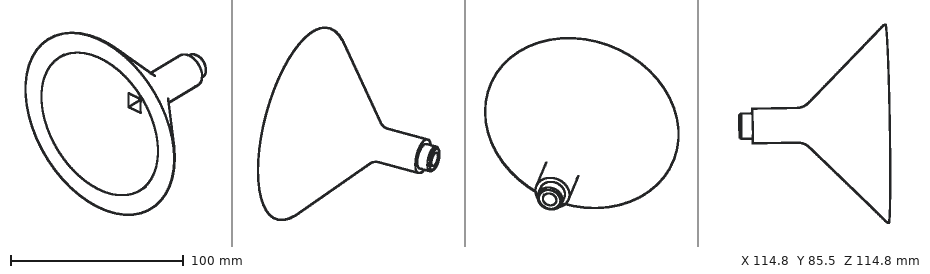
import cadquery as cq
import math

total_length = 85.5
rim_radius = 57.4
rim_round = 2.0

stem_radius = 20.2 / 2
peg_radius = 14.8 / 2
peg_length = 7.5
peg_chamfer = 1.0
shoulder_y = total_length - peg_length

cone_angle = math.radians(45)
blend_radius = 10.0
blend_tangent = blend_radius * math.tan(cone_angle / 2)

mouth_radius = 90.0 / 2
mouth_depth = 6.0
mouth_round = 1.0
cavity_depth = 30.4

bolt_diameter = 8.0
square_side = 9.4
square_depth = square_side


def round_point(start_radius, start_y, round_radius, angle):
    """Point on an inward-curving arc that starts parallel to the Y axis."""
    return (
        start_radius - round_radius * (1 - math.cos(angle)),
        start_y + round_radius * math.sin(angle),
    )


def outer_body():
    """Revolve the flared cone, its concave neck blend, the stem and the peg."""
    rim_middle = round_point(rim_radius, 0, rim_round, cone_angle / 2)
    rim_end = round_point(rim_radius, 0, rim_round, cone_angle)
    rim_end_radius, rim_end_y = rim_end
    neck_y = rim_end_y + (rim_end_radius - stem_radius) / math.tan(cone_angle)
    blend_top_y = neck_y + blend_tangent
    center_r = stem_radius + blend_radius
    half_angle = cone_angle / 2
    blend_middle = (
        center_r - blend_radius * math.cos(half_angle),
        blend_top_y - blend_radius * math.sin(half_angle),
    )
    blend_bottom = (
        center_r - blend_radius * math.cos(cone_angle),
        blend_top_y - blend_radius * math.sin(cone_angle),
    )
    return (
        cq.Workplane("XY")
        .moveTo(0, 0)
        .lineTo(rim_radius, 0)
        .threePointArc(rim_middle, rim_end)
        .lineTo(*blend_bottom)
        .threePointArc(blend_middle, (stem_radius, blend_top_y))
        .lineTo(stem_radius, shoulder_y)
        .lineTo(peg_radius, shoulder_y)
        .lineTo(peg_radius, total_length - peg_chamfer)
        .lineTo(peg_radius - peg_chamfer, total_length)
        .lineTo(0, total_length)
        .close()
        .revolve(360, (0, 0), (0, 1))
    )


def cavity():
    """Revolve the mouth bore, the inner cone and its blend into the flat floor."""
    mouth_middle = round_point(mouth_radius, mouth_depth, mouth_round, cone_angle / 2)
    mouth_end = round_point(mouth_radius, mouth_depth, mouth_round, cone_angle)
    mouth_end_radius, mouth_end_y = mouth_end
    corner_r = mouth_end_radius - (cavity_depth - mouth_end_y) * math.tan(cone_angle)
    floor_radius = corner_r - blend_tangent
    center_y = cavity_depth - blend_radius
    half_angle = cone_angle / 2
    blend_middle = (
        floor_radius + blend_radius * math.sin(half_angle),
        center_y + blend_radius * math.cos(half_angle),
    )
    blend_end = (
        floor_radius + blend_radius * math.sin(cone_angle),
        center_y + blend_radius * math.cos(cone_angle),
    )
    return (
        cq.Workplane("XY")
        .moveTo(0, 0)
        .lineTo(mouth_radius, 0)
        .lineTo(mouth_radius, mouth_depth)
        .threePointArc(mouth_middle, mouth_end)
        .lineTo(*blend_end)
        .threePointArc(blend_middle, (floor_radius, cavity_depth))
        .lineTo(0, cavity_depth)
        .close()
        .revolve(360, (0, 0), (0, 1))
    )


def bolt_passage():
    """Round through hole with a square recess sunk into the cavity floor."""
    hole = cq.Workplane("XZ").circle(bolt_diameter / 2).extrude(-total_length)
    square = (
        cq.Workplane("XZ", origin=(0, cavity_depth, 0))
        .rect(square_side, square_side)
        .extrude(-square_depth)
    )
    return hole.union(square)


result = outer_body().cut(cavity()).cut(bolt_passage())